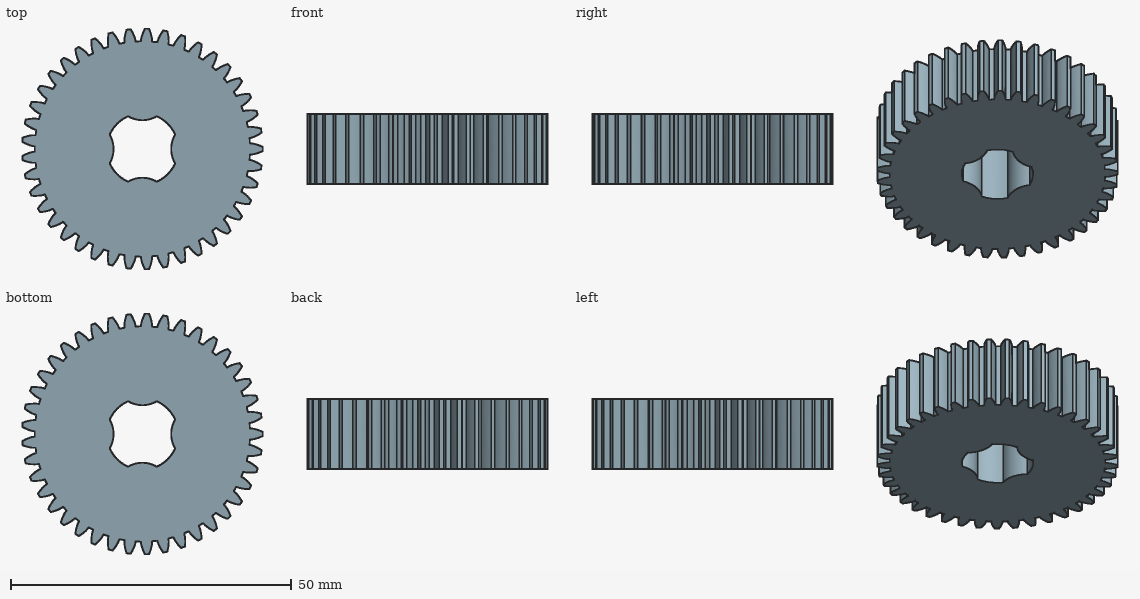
import cadquery as cq
import math

OUTER_DIAMETER = 43.0
TEETH = 41
PRESSURE_ANGLE = math.radians(20)
ADDENDUM_RATIO = 1.0
DEDENDUM_RATIO = 1.25
FACE_WIDTH = 12.5

MODULE = OUTER_DIAMETER / (TEETH + 2 * ADDENDUM_RATIO)
TIP_RADIUS = OUTER_DIAMETER / 2
PITCH_RADIUS = MODULE * TEETH / 2
ROOT_RADIUS = PITCH_RADIUS - DEDENDUM_RATIO * MODULE
BASE_RADIUS = PITCH_RADIUS * math.cos(PRESSURE_ANGLE)
TOOTH_PITCH = 2 * math.pi / TEETH
FLANK_STEPS = 6

BORE_RADIUS = 6.35
LOBE_REACH = 5.1
LOBE_RADIUS = 5.0
LOBES = 4


def polar(radius, angle):
    return (radius * math.cos(angle), radius * math.sin(angle))


def involute(angle):
    return math.tan(angle) - angle


def half_tooth_angle(radius):
    """Half the angle a tooth spans at a radius on its involute flank."""
    flank_angle = math.acos(BASE_RADIUS / radius)
    return TOOTH_PITCH / 4 + involute(PRESSURE_ANGLE) - involute(flank_angle)


def gear_blank():
    """Spur gear with one tooth centred on +X."""
    step = (TIP_RADIUS - BASE_RADIUS) / FLANK_STEPS
    flank_radii = [BASE_RADIUS + i * step for i in range(FLANK_STEPS + 1)]
    half_angles = [half_tooth_angle(radius) for radius in flank_radii]
    base_half = half_angles[0]
    tip_half = half_angles[-1]

    outline = cq.Workplane("XY").moveTo(*polar(ROOT_RADIUS, -base_half))
    for tooth in range(TEETH):
        center = tooth * TOOTH_PITCH
        rising = [polar(r, center - half) for r, half in zip(flank_radii, half_angles)]
        falling = [polar(r, center + half) for r, half in zip(flank_radii, half_angles)][::-1]
        next_gap = center + TOOTH_PITCH / 2
        next_root = center + TOOTH_PITCH - base_half

        outline = outline.lineTo(*rising[0])
        outline = outline.spline(rising[1:], includeCurrent=True)
        outline = outline.threePointArc(polar(TIP_RADIUS, center), polar(TIP_RADIUS, center + tip_half))
        outline = outline.spline(falling[1:], includeCurrent=True)
        outline = outline.lineTo(*polar(ROOT_RADIUS, center + base_half))
        outline = outline.threePointArc(polar(ROOT_RADIUS, next_gap), polar(ROOT_RADIUS, next_root))
    return outline.close().extrude(FACE_WIDTH)


def lobed_bore():
    """Cutting body for the through bore."""
    bore = cq.Workplane("XY").circle(BORE_RADIUS).extrude(FACE_WIDTH)
    lobes = (
        cq.Workplane("XY")
        .polarArray(LOBE_REACH + LOBE_RADIUS, 0, 360, LOBES)
        .circle(LOBE_RADIUS)
        .extrude(FACE_WIDTH)
    )
    return bore.cut(lobes)


result = gear_blank().cut(lobed_bore())